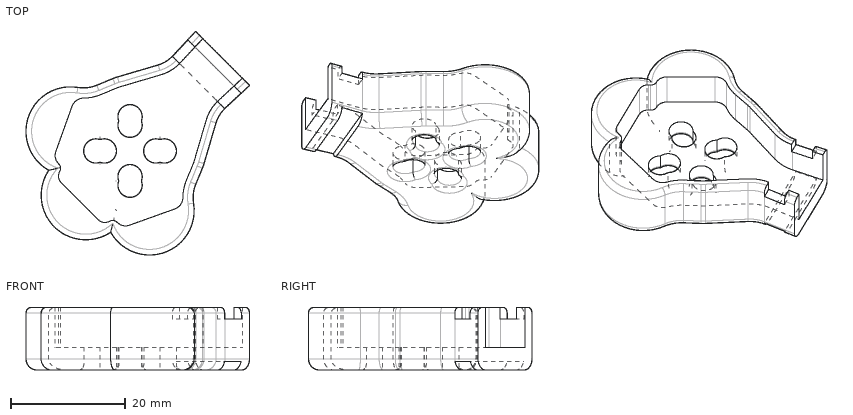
import cadquery as cq
import math

AXIS_ANGLE = 45.0

HEIGHT = 11.0
FLOOR_THICKNESS = 4.0
BOTTOM_FILLET = 2.0
TOP_FILLET = 1.0

LOBE_RADIUS = 7.82
LOBE_RING_RADIUS = 10.97
LOBE_PITCH_ANGLE = 63.2
LOBE_END_ANGLE = 35.5

FLANK_HOLLOW_RADIUS = 6.0
FLANK_UPPER_HEADING = -22.5
FLANK_UPPER_LENGTH = 3.06
FLANK_BULGE_RADIUS = 8.0
FLANK_LOWER_HEADING = -28.6
FLANK_LOWER_LENGTH = 7.44
NECK_HOLLOW_RADIUS = 5.6

NECK_HEADING = 2.0
NECK_END = 22.9

WALL = 1.8
MIDDLE_EDGE_DISTANCE = 12.45
MIDDLE_EDGE_HALF_LENGTH = 4.6
SIDE_EDGE_DISTANCE = 12.2
SIDE_EDGE_TILT = 64.7
CUSP_TURN = 68.0
MIDDLE_CORNER_RADIUS = 1.6
CUSP_STRAIGHT = 0.37
CUSP_RADIUS = 1.1
SIDE_CORNER_RADIUS = 2.0
FLANK_CORNER_RADIUS = 2.2

HOLE_DIAMETER = 4.2
HOLE_CENTRES = (4.5, 6.0)
HOLE_COUNT = 4
HOLE_EDGE_FILLET = 1.0

NOTCH_START = 16.95
NOTCH_END = 20.9
TOP_NOTCH_DEPTH = 2.0
BOTTOM_NOTCH_DEPTH = 1.5

CUT_SIZE = 60.0


def polar(radius, degrees):
    angle = math.radians(degrees)
    return (radius * math.cos(angle), radius * math.sin(angle))


def shifted(point, offset):
    return (point[0] + offset[0], point[1] + offset[1])


def mirrored(point):
    return (point[0], -point[1])


def polar_of(start, end):
    """Distance and direction from one point to another."""
    dx = end[0] - start[0]
    dy = end[1] - start[1]
    return math.hypot(dx, dy), math.degrees(math.atan2(dy, dx))


SIDE_LOBE_ANGLE = 180 - LOBE_PITCH_ANGLE
SIDE_LOBE_CENTRE = polar(LOBE_RING_RADIUS, SIDE_LOBE_ANGLE)
LOBE_END = shifted(SIDE_LOBE_CENTRE, polar(LOBE_RADIUS, LOBE_END_ANGLE))
FLANK_HOLLOW_CENTRE = shifted(LOBE_END, polar(FLANK_HOLLOW_RADIUS, LOBE_END_ANGLE))


class Path:
    """Chain of straights and arcs, each held as (start, middle, end); straights have no middle."""

    def __init__(self, start, heading):
        self.start = start
        self.end = start
        self.heading = heading
        self.spans = []

    def add_span(self, middle, end):
        self.spans.append((self.end, middle, end))
        self.end = end

    def straight(self, length):
        self.add_span(None, shifted(self.end, polar(length, self.heading)))

    def arc(self, radius, new_heading):
        """Tangent arc that turns the path to a new heading."""
        side = math.copysign(90, new_heading - self.heading)
        centre = shifted(self.end, polar(radius, self.heading + side))
        middle = shifted(centre, polar(radius, (self.heading + new_heading) / 2 - side))
        self.add_span(middle, shifted(centre, polar(radius, new_heading - side)))
        self.heading = new_heading

    def flank(self, inset, end_x):
        """Flank and neck wall, moved inwards by inset, from the flank hollow up to end_x."""
        self.arc(FLANK_HOLLOW_RADIUS + inset, FLANK_UPPER_HEADING)
        self.straight(FLANK_UPPER_LENGTH)
        self.arc(FLANK_BULGE_RADIUS - inset, FLANK_LOWER_HEADING)
        self.straight(FLANK_LOWER_LENGTH)
        self.arc(NECK_HOLLOW_RADIUS + inset, NECK_HEADING)
        self.straight((end_x - self.end[0]) / math.cos(math.radians(NECK_HEADING)))

    def symmetric_solid(self, height):
        """Extrude the area between this path and its mirror image."""
        sketch = cq.Workplane("XY").moveTo(*self.start)
        for _, middle, end in self.spans:
            sketch = draw_span(sketch, middle, end)
        sketch = sketch.lineTo(*mirrored(self.end))
        for start, middle, _ in reversed(self.spans):
            sketch = draw_span(sketch, middle and mirrored(middle), mirrored(start))
        return sketch.close().extrude(height)


def draw_span(sketch, middle, end):
    if middle is None:
        return sketch.lineTo(*end)
    return sketch.threePointArc(middle, end)


def rounded(solid, edge_filter):
    """Fillet the chosen edges of the bottom and top faces."""
    solid = solid.faces("<Z").edges(edge_filter).fillet(BOTTOM_FILLET)
    return solid.faces(">Z").edges(edge_filter).fillet(TOP_FILLET)


def trunk():
    """The two side lobes, the flanks and the neck, rounded along the outside.

    Each side lobe arc runs on into the middle lobe, where a straight line joins the two.
    """
    inner_angle = 270 - LOBE_PITCH_ANGLE / 2
    path = Path(shifted(SIDE_LOBE_CENTRE, polar(LOBE_RADIUS, inner_angle)), inner_angle - 90)
    path.arc(LOBE_RADIUS, LOBE_END_ANGLE - 90)
    path.flank(0, NECK_END)
    return rounded(path.symmetric_solid(HEIGHT), "not(|Y)")


def middle_lobe():
    cylinder = cq.Workplane("XY").center(-LOBE_RING_RADIUS, 0).circle(LOBE_RADIUS).extrude(HEIGHT)
    return rounded(cylinder, "%CIRCLE")


def flank_corner_centre(normal_angle):
    """Centre of the corner arc that touches both the side edge and the pocket's flank hollow."""
    foot = polar(SIDE_EDGE_DISTANCE - FLANK_CORNER_RADIUS, normal_angle)
    reach, direction = polar_of(foot, FLANK_HOLLOW_CENTRE)
    slant = math.radians(direction - (normal_angle - 90))
    along = reach * math.cos(slant)
    across = reach * math.sin(slant)
    touching_distance = FLANK_HOLLOW_RADIUS + WALL + FLANK_CORNER_RADIUS
    return shifted(foot, polar(along - math.sqrt(touching_distance**2 - across**2), normal_angle - 90))


def pocket():
    """Space above the floor, open at the top and at the end of the neck."""
    side_normal = 180 - SIDE_EDGE_TILT
    side_heading = 90 - SIDE_EDGE_TILT

    path = Path((-MIDDLE_EDGE_DISTANCE, MIDDLE_EDGE_HALF_LENGTH), 90)
    path.arc(MIDDLE_CORNER_RADIUS, 90 - CUSP_TURN)
    path.straight(CUSP_STRAIGHT)
    path.arc(CUSP_RADIUS, 90)

    cusp_side_x, cusp_side_y = path.end
    normal_x, normal_y = polar(1, side_normal)
    corner = (cusp_side_x, (SIDE_EDGE_DISTANCE - cusp_side_x * normal_x) / normal_y)
    corner_length = SIDE_CORNER_RADIUS * math.tan(math.radians(SIDE_EDGE_TILT / 2))
    path.straight(corner[1] - cusp_side_y - corner_length)
    path.arc(SIDE_CORNER_RADIUS, side_heading)
    corner_centre = flank_corner_centre(side_normal)
    side_edge_end = shifted(corner_centre, polar(FLANK_CORNER_RADIUS, side_normal))
    path.straight(polar_of(path.end, side_edge_end)[0])

    _, hollow_direction = polar_of(corner_centre, FLANK_HOLLOW_CENTRE)
    path.arc(FLANK_CORNER_RADIUS, hollow_direction - 90)
    path.flank(WALL, NECK_END + WALL)
    return path.symmetric_solid(HEIGHT - FLOOR_THICKNESS).translate((0, 0, FLOOR_THICKNESS))


def hole(direction):
    """Cutter for one double hole, its edge at the underside rounded outwards."""
    radius = HOLE_DIAMETER / 2
    rim_radius = radius + HOLE_EDGE_FILLET
    fillet_middle = shifted((rim_radius, HOLE_EDGE_FILLET), polar(HOLE_EDGE_FILLET, 225))
    single = (
        cq.Workplane("XZ")
        .lineTo(rim_radius, 0)
        .threePointArc(fillet_middle, (radius, HOLE_EDGE_FILLET))
        .lineTo(radius, FLOOR_THICKNESS)
        .lineTo(0, FLOOR_THICKNESS)
        .close()
        .revolve(360, (0, 0, 0), (0, 1, 0))
    )
    inner, outer = [single.translate((*polar(distance, direction), 0)) for distance in HOLE_CENTRES]
    return inner.union(outer)


def strap_notch(bottom, depth):
    """Slot across the full width of the neck."""
    return (
        cq.Workplane("XY")
        .box(NOTCH_END - NOTCH_START, CUT_SIZE, depth, centered=(False, True, False))
        .translate((NOTCH_START, 0, bottom))
    )


part = trunk().union(middle_lobe()).cut(pocket())
for index in range(HOLE_COUNT):
    part = part.cut(hole(index * 360 / HOLE_COUNT - AXIS_ANGLE))
part = part.cut(strap_notch(HEIGHT - TOP_NOTCH_DEPTH, TOP_NOTCH_DEPTH))
part = part.cut(strap_notch(0, BOTTOM_NOTCH_DEPTH))

result = part.rotate((0, 0, 0), (0, 0, 1), AXIS_ANGLE)